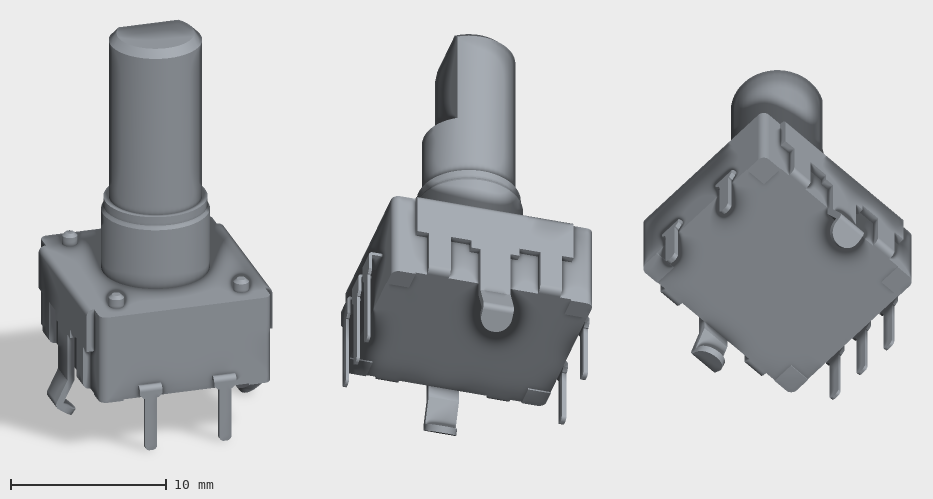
import cadquery as cq
import math


body_length = 13.42
body_width = 11.5
body_height = 6.0
body_corner_radius = 0.5
foot_height = 0.1
foot_inner_x = 5.2
foot_inner_y = 4.2

bushing_diameter = 7.0
bushing_neck_diameter = 6.7
bushing_neck_height = 0.6
bushing_height = 5.0
bushing_chamfer = 0.25
shaft_diameter = 6.0
shaft_height = 16.48
shaft_chamfer = 0.5
flat_offset = 1.5
flat_length = 7.0

rivet_diameter = 1.0
rivet_height = 0.8
rivet_chamfer = 0.2
rivet_spacing_x = 10.15
rivet_spacing_y = 8.4

plate_thickness = 0.5
plate_half_length = 5.23
plate_bend_radius = 0.42
plate_apron_depth = 2.95
leg_inner = 3.0
leg_outer = 4.45
tab_root_half_width = 1.6
tab_root_depth = 3.5

pin_bottom = -3.5
tab_half_width = 1.01
tab_straight_bottom = -0.75
tab_overall_width = 14.0
tab_lean_angle = 26.0
tab_return_angle = 35.0
tab_knee_radius = 0.4
tab_tip_radius = 1.0

terminal_pitch = 2.5
head_width = 1.5
pin_width = 0.8
head_chamfer = 0.25
pin_end_radius = 0.3
left_reach = 7.6
left_top = 3.07
left_head_height = 1.55
left_thickness = 0.2
left_bend_radius = 0.2
right_reach = 7.15
right_top = 1.0
right_head_height = 0.83
right_thickness = 0.3
right_bend_radius = 0.35

half_body_width = body_width / 2
plate_face = half_body_width + plate_thickness
embed = 0.25


def standing_block(length, width, height):
    """Block centred on the Z axis with its underside at Z = 0."""
    return cq.Workplane("XY").box(length, width, height, centered=(True, True, False))


def make_housing():
    """Rounded block standing on four corner feet."""
    block = standing_block(body_length, body_width, body_height)
    block = block.edges("|Z").fillet(body_corner_radius)
    channel_x = standing_block(body_length, 2 * foot_inner_y, foot_height)
    channel_y = standing_block(2 * foot_inner_x, body_width, foot_height)
    return block.cut(channel_x).cut(channel_y)


def make_bushing():
    """Bushing with a narrower neck at its upper end."""
    neck_base = bushing_height - bushing_neck_height
    bushing_radius = bushing_diameter / 2
    neck_radius = bushing_neck_diameter / 2
    profile = (
        cq.Workplane("XZ")
        .moveTo(0, body_height - embed)
        .lineTo(bushing_radius, body_height - embed)
        .lineTo(bushing_radius, body_height + neck_base - bushing_chamfer)
        .lineTo(neck_radius, body_height + neck_base)
        .lineTo(neck_radius, body_height + bushing_height)
        .lineTo(0, body_height + bushing_height)
        .close()
    )
    return profile.revolve(360, (0, 0, 0), (0, 1, 0))


def make_shaft():
    """Chamfered shaft with one flat facing -X."""
    shaft = cq.Workplane("XY").workplane(offset=body_height).circle(shaft_diameter / 2).extrude(shaft_height)
    shaft = shaft.faces(">Z").chamfer(shaft_chamfer)
    flat_cut = standing_block(shaft_diameter, shaft_diameter, flat_length)
    flat_center_x = -flat_offset - shaft_diameter / 2
    flat_bottom = body_height + shaft_height - flat_length
    return shaft.cut(flat_cut.translate((flat_center_x, 0, flat_bottom)))


def make_rivets():
    """Four chamfered rivet heads at the corners of the top face."""
    return (
        cq.Workplane("XY")
        .workplane(offset=body_height - embed)
        .rect(rivet_spacing_x, rivet_spacing_y, forConstruction=True)
        .vertices()
        .circle(rivet_diameter / 2)
        .extrude(rivet_height + embed)
        .faces(">Z")
        .chamfer(rivet_chamfer)
    )


def make_plate_sheet():
    """Flat sheet on the -Y side with two legs, rounded along its top and leg ends."""
    apron_bottom = body_height - plate_apron_depth
    root_bottom = body_height - tab_root_depth
    right_half = [
        (plate_half_length, body_height),
        (plate_half_length, apron_bottom),
        (leg_outer, apron_bottom),
        (leg_outer, foot_height),
        (leg_inner, foot_height),
        (leg_inner, apron_bottom),
        (tab_root_half_width, apron_bottom),
        (tab_root_half_width, root_bottom),
    ]
    left_half = [(-x, z) for x, z in reversed(right_half)]
    sheet = cq.Workplane("XZ", origin=(0, -half_body_width, 0)).polyline(right_half + left_half).close()
    sheet = sheet.extrude(plate_thickness)
    outer_edges = sheet.faces("<Y").edges("|X")
    return outer_edges.edges(">Z or <Z").fillet(plate_bend_radius)


def make_snap_tab():
    """Tab on the -Y side: straight down, leaning outward, then folded back to a round tip."""
    lean = math.radians(tab_lean_angle)
    fold = math.radians(tab_return_angle)
    lean_y, lean_z = -math.sin(lean), -math.cos(lean)
    fold_y, fold_z = math.cos(fold), -math.sin(fold)

    turn = math.acos(lean_y * fold_y + lean_z * fold_z)
    knee_setback = tab_knee_radius * math.tan(turn / 2)
    knee_center_offset = -knee_setback * lean_y - tab_knee_radius * lean_z
    knee_y = tab_knee_radius - tab_overall_width / 2 - knee_center_offset
    lean_length = (knee_y + plate_face) / lean_y
    knee_z = tab_straight_bottom + lean_length * lean_z
    fold_length = (knee_z - pin_bottom) / -fold_z
    tip_y = knee_y + fold_length * fold_y

    strip_thickness = plate_thickness * math.cos(lean)
    inner_shift = strip_thickness * math.tan(turn / 2)
    inner_knee_y = knee_y - inner_shift * lean_y - strip_thickness * lean_z
    inner_knee_z = knee_z - inner_shift * lean_z + strip_thickness * lean_y
    root_z = body_height - tab_root_depth + embed
    profile = [
        (-plate_face, root_z),
        (-plate_face, tab_straight_bottom),
        (knee_y, knee_z),
        (tip_y, pin_bottom),
        (tip_y - strip_thickness * fold_z, pin_bottom + strip_thickness * fold_y),
        (inner_knee_y, inner_knee_z),
        (-half_body_width, tab_straight_bottom),
        (-half_body_width, root_z),
    ]
    tab = cq.Workplane("YZ").polyline(profile).close().extrude(tab_half_width, both=True)
    tab = tab.edges(cq.selectors.NearestToPointSelector((0, knee_y, knee_z))).fillet(tab_knee_radius)
    tip_corners = tab.faces(cq.selectors.NearestToPointSelector((0, tip_y, pin_bottom))).edges("not |X")
    return tip_corners.fillet(tab_tip_radius)


def make_terminal(reach, top, head_height, thickness, bend_radius):
    """L-bent terminal on the +X side: a wide head narrowing to a round-ended pin."""
    body_side = body_length / 2 - embed
    bend = (
        cq.Workplane("XZ")
        .polyline([
            (body_side, top),
            (reach, top),
            (reach, pin_bottom),
            (reach - thickness, pin_bottom),
            (reach - thickness, top - thickness),
            (body_side, top - thickness),
        ])
        .close()
        .extrude(head_width / 2, both=True)
        .edges("|Y and >X and >Z")
        .fillet(bend_radius)
    )
    head = cq.Workplane("YZ").rect(head_width, 2 * head_height).extrude(reach)
    head = head.edges("|X").chamfer(head_chamfer).translate((0, 0, top))
    pin = cq.Workplane("YZ").rect(pin_width, 2 * (top - pin_bottom)).extrude(reach)
    pin = pin.edges("|X").fillet(pin_end_radius).translate((0, 0, top))
    return bend.intersect(head.union(pin))


def mirror_pair(side):
    """A -Y side part together with its mirror image on the +Y side."""
    return side.union(side.mirror("XZ"))


result = make_housing().union(make_bushing()).union(make_shaft()).union(make_rivets())
result = result.union(mirror_pair(make_plate_sheet()))
result = result.union(mirror_pair(make_snap_tab()))

left_terminal = make_terminal(left_reach, left_top, left_head_height, left_thickness, left_bend_radius)
left_terminal = left_terminal.mirror("YZ")
right_terminal = make_terminal(right_reach, right_top, right_head_height, right_thickness, right_bend_radius)
for position in (-terminal_pitch, 0, terminal_pitch):
    result = result.union(left_terminal.translate((0, position, 0)))
for position in (-terminal_pitch, terminal_pitch):
    result = result.union(right_terminal.translate((0, position, 0)))